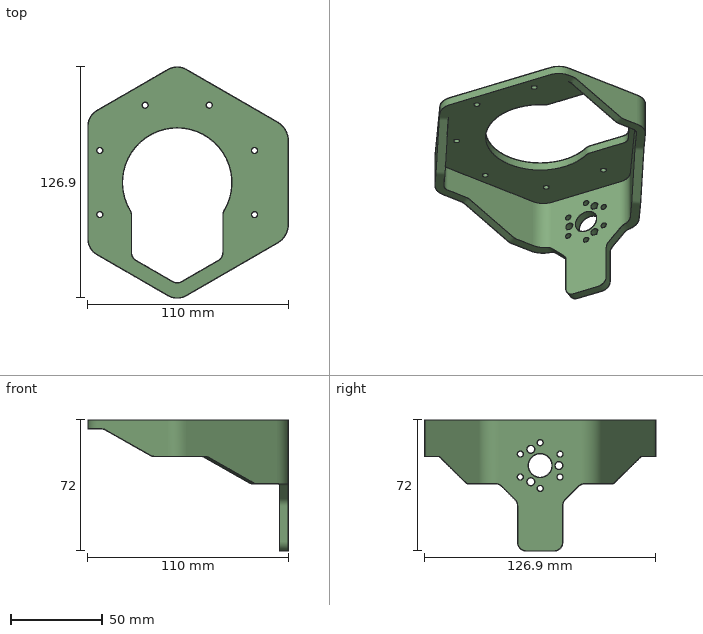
import cadquery as cq
import math

apex_y = 65.0
left_x = -49.0
right_x = 61.0
slant_angle = 30
corner_radius = 9.9
outer_right_radius = 12.0

thickness = 5.0
apex_depth = 20.0
skirt_depth = 35.0
bend_radius = 5.0

left_slope_start = -46.7
left_slope_end = -15.9
right_slope_start = 19.0
right_slope_end = 49.5

bore_radius = 30.0
slot_half_width = 25.0
slot_rim = 8.0
slot_corner_radius = 5.0

screw_diameter = 3.2
screw_circle_radius = 46.0
screw_angles = [-22.5, 22.5, 67.5, 112.5, 157.5, 202.5]

tab_half_width = 12.5
tab_bottom = -72.0
tab_shoulder_z = -45.0
tab_fillet = 5.0

motor_z = -25.0
shaft_diameter = 13.0
motor_screw_circle_radius = 12.6
pin_diameter = 4.2
pin_circle_radius = 10.3

reach = 190.4


def slant_y(x, inset=0):
    """Y of the slanted edge at x, moved inwards by inset."""
    angle = math.radians(slant_angle)
    return apex_y - inset / math.cos(angle) - abs(x) * math.tan(angle)


def hexagon(x_min, x_max, inset, depth):
    """Prism hanging down from the top face, with slanted sides moved inwards."""
    points = [
        (x_min, slant_y(x_min, inset)),
        (0, slant_y(0, inset)),
        (x_max, slant_y(x_max, inset)),
        (x_max, -slant_y(x_max, inset)),
        (0, -slant_y(0, inset)),
        (x_min, -slant_y(x_min, inset)),
    ]
    return cq.Workplane("XY").polyline(points).close().extrude(-depth)


def outer_body(depth):
    body = hexagon(left_x, right_x, 0, depth)
    body = body.edges("|Z and >X").fillet(outer_right_radius)
    body = body.edges("|Z and <X").fillet(corner_radius)
    return body.edges("|Z and (>Y or <Y)").fillet(corner_radius)


def wall_ring(depth):
    """Wall of the given depth along the slanted and right sides, open towards -X."""
    cavity = hexagon(left_x, right_x - thickness, thickness, depth)
    cavity = cavity.edges("|Z and >X").fillet(corner_radius)
    cavity = cavity.edges("|Z and (>Y or <Y)").fillet(corner_radius - thickness)
    return outer_body(depth).cut(cavity)


def wall_quarter(ring, side, start, end, start_depth, end_depth):
    """Half of the -Y walls (side -1 left, +1 right), trimmed square to the wall."""
    profile = [
        (-reach, reach),
        (-reach, -start_depth),
        (start, -start_depth),
        (end, -end_depth),
        (reach, -end_depth),
        (reach, reach),
    ]
    trim = cq.Workplane("XZ").polyline(profile).close().extrude(reach, both=True)
    trim = trim.edges("|Y").fillet(bend_radius)
    trim = trim.rotate((0, 0, 0), (0, 0, 1), side * slant_angle).translate((0, -apex_y, 0))
    quadrant = cq.Workplane("XY").box(reach, reach, reach)
    quadrant = quadrant.translate((side * reach / 2, -reach / 2, 0))
    return ring.intersect(quadrant).intersect(trim)


def skirt():
    ring = wall_ring(skirt_depth)
    left = wall_quarter(ring, -1, left_slope_start, left_slope_end, thickness, apex_depth)
    right = wall_quarter(ring, 1, right_slope_start, right_slope_end, apex_depth, skirt_depth)
    half = left.union(right)
    return half.union(half.mirror("XZ"))


def opening():
    bore = cq.Workplane("XY").circle(bore_radius).extrude(-thickness)
    slot = hexagon(-slot_half_width, slot_half_width, slot_rim, thickness)
    slot = slot.intersect(cq.Workplane("XY").box(reach, reach, reach).translate((0, -reach / 2, 0)))
    slot = slot.edges("|Z and (not >Y)").fillet(slot_corner_radius)
    cutter = bore.union(slot)
    neck_y = -math.sqrt(bore_radius**2 - slot_half_width**2)
    for x in (-slot_half_width, slot_half_width):
        neck = cq.selectors.NearestToPointSelector((x, neck_y, -thickness / 2))
        cutter = cutter.edges("|Z").edges(neck).fillet(slot_corner_radius)
    return cutter


def polar(radius, angles):
    return [
        (radius * math.cos(math.radians(a)), radius * math.sin(math.radians(a)))
        for a in angles
    ]


def tab():
    """Tab with 45 degree shoulders that blend into the lower edge of the wall."""
    shoulder_y = tab_half_width - skirt_depth - tab_shoulder_z
    root_y = shoulder_y + tab_fillet
    root_z = thickness - skirt_depth
    points = [
        (-root_y, root_z),
        (-root_y, -skirt_depth),
        (-shoulder_y, -skirt_depth),
        (-tab_half_width, tab_shoulder_z),
        (-tab_half_width, tab_bottom),
        (tab_half_width, tab_bottom),
        (tab_half_width, tab_shoulder_z),
        (shoulder_y, -skirt_depth),
        (root_y, -skirt_depth),
        (root_y, root_z),
    ]
    blank = cq.Workplane("YZ").polyline(points).close().extrude(reach)
    side = (shoulder_y + root_y) / 2
    corners = cq.selectors.BoxSelector((0, -side, -reach), (reach, side, root_z - thickness / 2))
    rounded = blank.edges("|X").edges(corners).fillet(tab_fillet)
    return rounded.intersect(wall_ring(-tab_bottom))


def motor_holes():
    plane = cq.Workplane("YZ", origin=(right_x - 2 * thickness, 0, motor_z))
    depth = 3 * thickness
    shaft = plane.circle(shaft_diameter / 2).extrude(depth)
    screws = plane.pushPoints(polar(motor_screw_circle_radius, range(30, 390, 60)))
    pins = plane.pushPoints(polar(pin_circle_radius, [0, 120, 240]))
    screws = screws.circle(screw_diameter / 2).extrude(depth)
    pins = pins.circle(pin_diameter / 2).extrude(depth)
    return shaft.union(screws).union(pins)


plate = outer_body(thickness).cut(opening())
screw_holes = (
    cq.Workplane("XY")
    .pushPoints(polar(screw_circle_radius, screw_angles))
    .circle(screw_diameter / 2)
    .extrude(-thickness)
)
result = plate.cut(screw_holes).union(skirt()).union(tab()).cut(motor_holes())